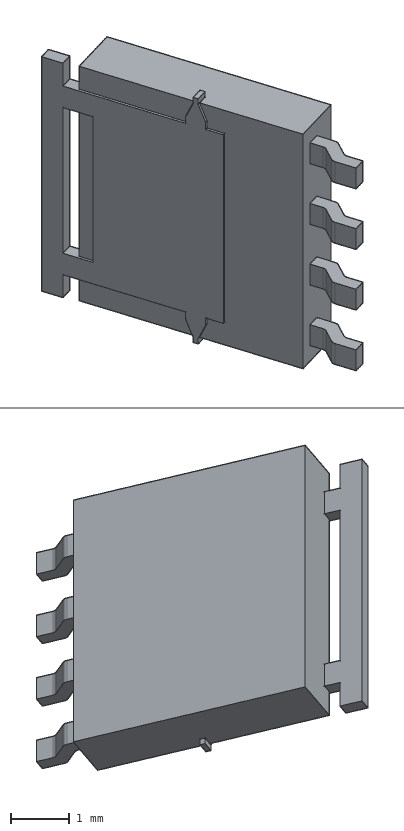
import cadquery as cq
import math


total_length = 6.15
total_depth = 1.07
total_height = 5.12

housing_start = 0.71
housing_end = 5.085
housing_height = 4.9
slug_stand_off = 0.05

metal_thickness = 0.25
bar_width = 0.42
slug_end = 3.555
slug_height = 3.94
slot_end = 1.0
slot_height = 3.045

tie_center = 3.015
tie_root_width = 0.395
tie_root_length = 0.15
tie_tip_width = 0.1

lead_count = 4
lead_pitch = 1.265
lead_width = 0.435
lead_drop = 0.3
lead_bend_start = 5.39
bend_angle = math.radians(45)
outer_bend_radius = 0.13
inner_bend_radius = 0.105


def box_between(x_start, x_end, y_start, y_end, height):
    """Box between the given X and Y limits, centred on Z = 0."""
    return (
        cq.Workplane("XY")
        .box(x_end - x_start, y_end - y_start, height, centered=(False, False, True))
        .translate((x_start, y_start, 0))
    )


def plate_profile():
    """Workplane whose extrusions start at Y = 0 and grow towards +Y."""
    return cq.Workplane(cq.Plane(origin=(0, 0, 0), xDir=(1, 0, 0), normal=(0, -1, 0)))


def make_tie_bar():
    """Upper tie bar: a straight root, a taper to the housing edge and a narrow tip."""
    root_half = tie_root_width / 2
    tip_half = tie_tip_width / 2
    slug_edge = slug_height / 2
    right_side = [
        (root_half, slug_edge),
        (root_half, slug_edge + tie_root_length),
        (tip_half, housing_height / 2),
        (tip_half, total_height / 2),
    ]
    left_side = [(-x, z) for x, z in reversed(right_side)]
    outline = [(tie_center + x, z) for x, z in right_side + left_side]
    return plate_profile().polyline(outline).close().extrude(-metal_thickness)


def make_slug():
    """Flat slug: cross bar, slotted pad and a tie bar on each edge."""
    bar = box_between(0, bar_width, 0, metal_thickness, housing_height)
    pad = box_between(0, slug_end, 0, metal_thickness, slug_height)
    slot = box_between(bar_width, slot_end, 0, metal_thickness, slot_height)
    tie_bar = make_tie_bar()
    return bar.union(pad).cut(slot).union(tie_bar).union(tie_bar.mirror("XY"))


def make_housing(slug):
    """Rectangular block with a recess that matches the slug."""
    block = box_between(housing_start, housing_end, slug_stand_off, total_depth, housing_height)
    return block.cut(slug)


def make_lead(z_center):
    """Gull-wing lead from the housing end down to the mounting plane."""
    corner_shift = metal_thickness * math.tan(bend_angle / 2)
    foot_start = lead_bend_start + lead_drop / math.tan(bend_angle)
    outline = [
        (housing_end, lead_drop),
        (lead_bend_start, lead_drop),
        (foot_start, 0),
        (total_length, 0),
        (total_length, metal_thickness),
        (foot_start + corner_shift, metal_thickness),
        (lead_bend_start + corner_shift, lead_drop + metal_thickness),
        (housing_end, lead_drop + metal_thickness),
    ]
    inner_corners = [outline[1], outline[5]]
    outer_corners = [outline[2], outline[6]]
    lead = cq.Workplane("XY").polyline(outline).close().extrude(lead_width / 2, both=True)
    for corners, radius in ((inner_corners, inner_bend_radius), (outer_corners, outer_bend_radius)):
        for x, y in corners:
            lead = lead.edges(cq.selectors.NearestToPointSelector((x, y, 0))).fillet(radius)
    return lead.translate((0, 0, z_center))


slug = make_slug()
housing = make_housing(slug)

lowest_lead = -lead_pitch * (lead_count - 1) / 2
leads = [make_lead(lowest_lead + i * lead_pitch) for i in range(lead_count)]

result = cq.Compound.makeCompound(
    [body.solids().val() for body in (housing, slug, *leads)]
)